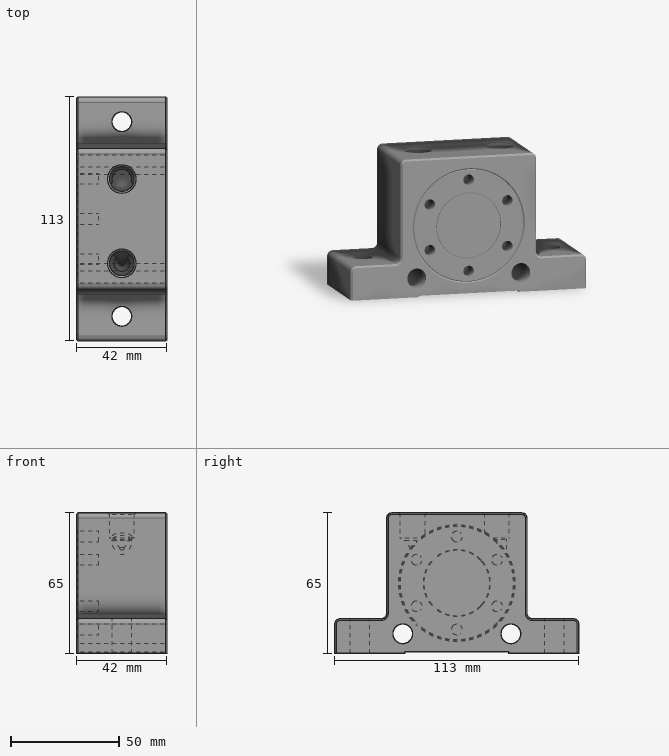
import cadquery as cq
import math

width = 42.0
length = 113.0
height = 65.0
block_length = 65.0
flange_height = 16.0
profile_radius = 2.5
side_chamfer = 0.8
relief_length = 48.0
relief_depth = 0.6

mount_diameter = 9.0
flange_hole_spacing = 90.0
cross_hole_spacing = 50.0
cross_hole_height = 9.0

cartridge_height = 32.5
cartridge_radius = 26.5
cartridge_setback = 0.3
seat_chamfer = 0.5
cartridge_chamfer = 0.3
cap_diameter = 31.0
cap_groove_width = 0.3
cap_groove_depth = 0.5
screw_circle_radius = 21.5
screw_hole_diameter = 5.0
screw_hole_depth = 10.0
screw_hole_count = 6

outlet_y = 18.5
inlet_y = -20.5
port_diameter = 11.45
port_mouth_diameter = 13.2
port_depth = 11.6
drill_tip_angle = 118.0
outlet_bore_diameter = 9.0
outlet_bore_floor = 40.0
funnel_diameter = 7.4
nozzle_diameter = 2.4
funnel_depth = 3.2
nozzle_floor = 40.0

left_face = -width / 2
cartridge_face = left_face + cartridge_setback


def x_cylinder(diameter, x_start, depth, y=0.0, z=0.0):
    """Cylinder along +X starting at x_start."""
    return (
        cq.Workplane("YZ", origin=(x_start, y, z))
        .circle(diameter / 2)
        .extrude(depth)
    )


def housing():
    """Block on two flanges, rounded along its profile and chamfered around both side faces."""
    base = cq.Workplane("XY").box(width, length, flange_height, centered=(True, True, False))
    block = cq.Workplane("XY").box(width, block_length, height, centered=(True, True, False))
    body = base.union(block).edges("|X").edges("not <Z").fillet(profile_radius)
    body = body.faces("<X or >X").edges("not <Z").chamfer(side_chamfer)
    return body.cut(bottom_relief())


def bottom_relief():
    """Shallow recess across the middle of the underside."""
    return cq.Workplane("XY").box(
        width, relief_length, relief_depth, centered=(True, True, False)
    )


def mounting_holes():
    """Vertical holes in the flanges and cross holes through the block."""
    holes = (
        cq.Workplane("XY")
        .rarray(1, flange_hole_spacing, 1, 2)
        .circle(mount_diameter / 2)
        .extrude(flange_height)
    )
    for side in (-1, 1):
        y = side * cross_hole_spacing / 2
        holes = holes.union(x_cylinder(mount_diameter, left_face, width, y, cross_hole_height))
    return holes


def drill_tip_length(radius_drop):
    """Height of the conical drill tip over which the radius shrinks by radius_drop."""
    return radius_drop / math.tan(math.radians(drill_tip_angle / 2))


def revolved_port(y, inner_profile):
    """Port cavity: countersunk mouth, bore, then the (radius, z) points of its bottom."""
    mouth_radius = port_mouth_diameter / 2
    bore_radius = port_diameter / 2
    countersink_depth = mouth_radius - bore_radius
    points = [
        (0, height),
        (mouth_radius, height),
        (bore_radius, height - countersink_depth),
        (bore_radius, height - port_depth),
    ] + inner_profile
    return (
        cq.Workplane("XZ", origin=(0, y, 0))
        .polyline(points)
        .close()
        .revolve(360, (0, 0, 0), (0, 1, 0))
    )


def outlet_port():
    """Port continuing as a smaller bore down to the cartridge."""
    inner_radius = outlet_bore_diameter / 2
    shoulder = height - port_depth - drill_tip_length(port_diameter / 2 - inner_radius)
    return revolved_port(
        outlet_y,
        [(inner_radius, shoulder), (inner_radius, outlet_bore_floor), (0, outlet_bore_floor)],
    )


def inlet_port():
    """Port narrowing through a funnel to a nozzle that meets the cartridge."""
    funnel_radius = funnel_diameter / 2
    nozzle_radius = nozzle_diameter / 2
    funnel_top = height - port_depth - drill_tip_length(port_diameter / 2 - funnel_radius)
    return revolved_port(
        inlet_y,
        [
            (funnel_radius, funnel_top),
            (nozzle_radius, funnel_top - funnel_depth),
            (nozzle_radius, nozzle_floor),
            (0, nozzle_floor),
        ],
    )


def cartridge():
    """Plain disc that fills the housing bore and closes the inner ends of the ports."""
    return x_cylinder(2 * cartridge_radius, left_face, width, z=cartridge_height)


def seat_recess():
    """Shallow recess ahead of the cartridge, with a chamfered bore mouth and cartridge rim."""
    return (
        cq.Workplane("XY", origin=(0, 0, cartridge_height))
        .polyline(
            [
                (left_face, 0),
                (left_face, cartridge_radius + seat_chamfer),
                (left_face + seat_chamfer, cartridge_radius),
                (cartridge_face + cartridge_chamfer, cartridge_radius),
                (cartridge_face, cartridge_radius - cartridge_chamfer),
                (cartridge_face, 0),
            ]
        )
        .close()
        .revolve(360, (0, 0, 0), (1, 0, 0))
    )


def cap_groove():
    """Fine groove around the central cap."""
    inner_diameter = cap_diameter - 2 * cap_groove_width
    outer = x_cylinder(cap_diameter, cartridge_face, cap_groove_depth, z=cartridge_height)
    inner = x_cylinder(inner_diameter, cartridge_face, cap_groove_depth, z=cartridge_height)
    return outer.cut(inner)


def screw_holes():
    """Blind holes on a circle in the cartridge face."""
    return (
        cq.Workplane("YZ", origin=(cartridge_face, 0, cartridge_height))
        .polarArray(screw_circle_radius, 90, 360, screw_hole_count)
        .circle(screw_hole_diameter / 2)
        .extrude(screw_hole_depth)
    )


result = (
    housing()
    .cut(outlet_port())
    .cut(inlet_port())
    .union(cartridge())
    .cut(mounting_holes())
    .cut(seat_recess())
    .cut(cap_groove())
    .cut(screw_holes())
)